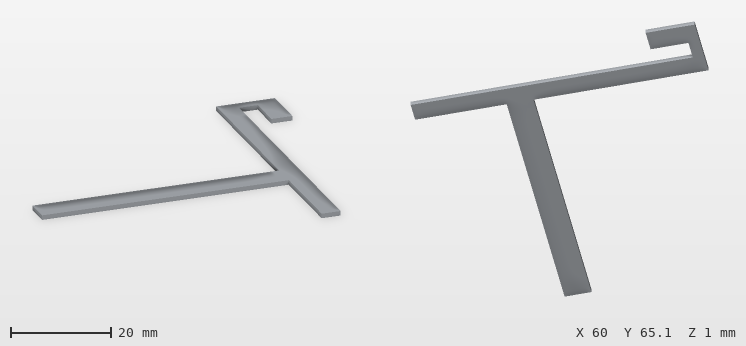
import cadquery as cq

width = 60.0
length = 65.1
thickness = 1.0

hook_length = 10.0
hook_tip_depth = 4.5
hook_wall = 2.3
hook_height = 12.5

bar_depth = 4.05
stem_left = 35.8
stem_width = 5.5

bar_bottom = length - hook_height
bar_top = bar_bottom + bar_depth
tip_bottom = length - hook_tip_depth
stem_right = stem_left + stem_width

outline = [
    (0, length),
    (hook_length, length),
    (hook_length, tip_bottom),
    (hook_wall, tip_bottom),
    (hook_wall, bar_top),
    (width, bar_top),
    (width, bar_bottom),
    (stem_right, bar_bottom),
    (stem_right, 0),
    (stem_left, 0),
    (stem_left, bar_bottom),
    (0, bar_bottom),
]

result = cq.Workplane("XY").polyline(outline).close().extrude(thickness)